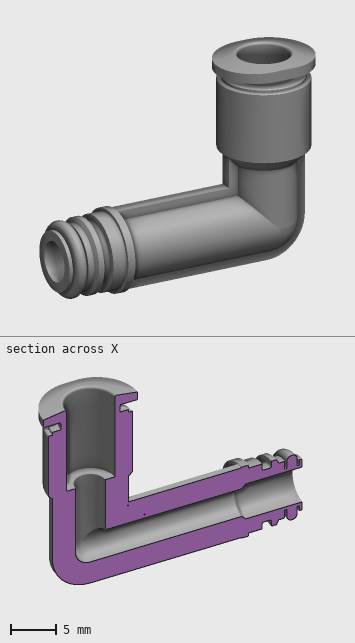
import math

import cadquery as cq


TUBE_R = 7.5 / 2
BORE_R = 3.7 / 2
RIB_THICKNESS = 1.5
RIB_R = 9.55 / 2

BODY_R = 10.55 / 2
BODY_BOTTOM = 8.75
BODY_TOP = 17.0
RIM_R = 9.55 / 2
RIM_TOP = 17.37
TOP_EDGE_CHAMFER = 0.1
SOCKET_R = 6.0 / 2
SOCKET_FLOOR = BODY_BOTTOM
SOCKET_MOUTH_R = 6.6 / 2

BUTTON_WIDTH = 9.75
BUTTON_LENGTH = 11.75
BUTTON_BOTTOM = 18.3
BUTTON_EDGE_TOP = 19.4
BUTTON_TOP = 19.805
NECK_R = 7.4 / 2
NECK_FLARE_R = 7.6 / 2
NECK_FLARE_HEIGHT = 0.3

FLANGE_R = 9.75 / 2
FLANGE_START = 18.85
FLANGE_END = 19.75
FLANGE_FILLET = 0.53
FLANGE_DRAFT = math.radians(20)
LAND_R = 8.93 / 2
LAND_END = 21.4
GROOVE_R = 7.15 / 2
GROOVE_FILLET = 0.28
RING_START = 22.55
RING_END = 23.2
NOSE_R = 7.8 / 2
NOSE_START = 23.5
NOSE_END = 24.25
SEAL_CORE_R = 5.65 / 2
TIP_R = 7.0 / 2
TIP_START = 26.0
OVERALL_LENGTH = 32.3
PLUG_END = OVERALL_LENGTH - BUTTON_LENGTH / 2
COUNTERBORE_R = 4.7 / 2
COUNTERBORE_START = FLANGE_START

SEAL_R = 8.85 / 2
SEAL_WIDTH = 1.3
SEAL_CROWN = 0.5
SEAL_CENTRE = (NOSE_END + TIP_START) / 2


def revolve_about_z(profile):
    """Turn a closed (radius, height) profile about the socket axis."""
    return profile.close().revolve(360, (0, 0, 0), (0, 1, 0))


def revolve_about_y(profile):
    """Turn a closed (distance, radius) profile about the plug axis."""
    return profile.close().revolve(360, (0, 0, 0), (1, 0, 0))


def plug_plane():
    """Plane whose local x runs out along the plug leg and local y is the radius."""
    return cq.Workplane(cq.Plane(origin=(0, 0, 0), xDir=(0, -1, 0), normal=(-1, 0, 0)))


def elbow(radius, socket_length, plug_length):
    """Two round legs meeting at a sphere, for the tube and for its bore."""
    socket_leg = cq.Workplane("XY").circle(radius).extrude(socket_length)
    plug_leg = plug_plane().transformed(rotate=(0, 90, 0)).circle(radius).extrude(plug_length)
    return cq.Workplane("XY").sphere(radius).union(socket_leg).union(plug_leg)


def rib():
    """Flat web along the elbow's centre plane, rounded around the outer corner."""
    return (
        plug_plane()
        .moveTo(-RIB_R, BODY_BOTTOM)
        .lineTo(-RIB_R, 0)
        .radiusArc((0, -RIB_R), -RIB_R)
        .lineTo(FLANGE_START, -RIB_R)
        .lineTo(FLANGE_START, RIB_R)
        .lineTo(RIB_R, RIB_R)
        .lineTo(RIB_R, BODY_BOTTOM)
        .close()
        .extrude(RIB_THICKNESS / 2, both=True)
    )


def socket_body():
    cone_bottom = BODY_BOTTOM - (BODY_R - TUBE_R)
    return revolve_about_z(
        cq.Workplane("XZ")
        .moveTo(0, cone_bottom)
        .lineTo(TUBE_R, cone_bottom)
        .lineTo(BODY_R, BODY_BOTTOM)
        .lineTo(BODY_R, BODY_TOP - TOP_EDGE_CHAMFER)
        .lineTo(BODY_R - TOP_EDGE_CHAMFER, BODY_TOP)
        .lineTo(RIM_R, BODY_TOP)
        .lineTo(RIM_R, RIM_TOP - TOP_EDGE_CHAMFER)
        .lineTo(RIM_R - TOP_EDGE_CHAMFER, RIM_TOP)
        .lineTo(0, RIM_TOP)
    )


def release_button():
    neck = revolve_about_z(
        cq.Workplane("XZ")
        .moveTo(0, BODY_TOP)
        .lineTo(NECK_R, BODY_TOP)
        .lineTo(NECK_R, BUTTON_BOTTOM - NECK_FLARE_HEIGHT)
        .lineTo(NECK_FLARE_R, BUTTON_BOTTOM)
        .lineTo(0, BUTTON_BOTTOM)
    )
    crowned_disc = revolve_about_z(
        cq.Workplane("XZ")
        .moveTo(0, BUTTON_BOTTOM)
        .lineTo(BUTTON_LENGTH / 2, BUTTON_BOTTOM)
        .lineTo(BUTTON_LENGTH / 2, BUTTON_EDGE_TOP)
        .lineTo(SOCKET_MOUTH_R, BUTTON_TOP)
        .lineTo(0, BUTTON_TOP)
    )
    outline = (
        cq.Workplane("XY", origin=(0, 0, BUTTON_BOTTOM))
        .slot2D(BUTTON_LENGTH, BUTTON_WIDTH, 90)
        .extrude(BUTTON_TOP - BUTTON_BOTTOM)
    )
    return neck.union(crowned_disc.intersect(outline))


def plug_body():
    fillet_end_r = TUBE_R + FLANGE_FILLET * (1 - math.sin(FLANGE_DRAFT))
    fillet_end = FLANGE_START - (FLANGE_R - fillet_end_r) * math.tan(FLANGE_DRAFT)
    fillet_start = fillet_end - FLANGE_FILLET * math.cos(FLANGE_DRAFT)
    return revolve_about_y(
        plug_plane()
        .moveTo(fillet_start, 0)
        .lineTo(fillet_start, TUBE_R)
        .radiusArc((fillet_end, fillet_end_r), -FLANGE_FILLET)
        .lineTo(FLANGE_START, FLANGE_R)
        .lineTo(FLANGE_END, FLANGE_R)
        .lineTo(FLANGE_END, LAND_R)
        .lineTo(LAND_END, LAND_R)
        .lineTo(LAND_END, GROOVE_R + GROOVE_FILLET)
        .radiusArc((LAND_END + GROOVE_FILLET, GROOVE_R), -GROOVE_FILLET)
        .lineTo(RING_START - GROOVE_FILLET, GROOVE_R)
        .radiusArc((RING_START, GROOVE_R + GROOVE_FILLET), -GROOVE_FILLET)
        .lineTo(RING_START, LAND_R)
        .lineTo(RING_END, LAND_R)
        .lineTo(NOSE_START, NOSE_R)
        .lineTo(NOSE_END, NOSE_R)
        .lineTo(NOSE_END, SEAL_CORE_R)
        .lineTo(TIP_START, SEAL_CORE_R)
        .lineTo(TIP_START, TIP_R)
        .lineTo(PLUG_END, TIP_R)
        .lineTo(PLUG_END, 0)
    )


def seal_ring():
    side_r = SEAL_R - SEAL_CROWN
    near_side = SEAL_CENTRE - SEAL_WIDTH / 2
    far_side = SEAL_CENTRE + SEAL_WIDTH / 2
    return revolve_about_y(
        plug_plane()
        .moveTo(near_side, 0)
        .lineTo(near_side, side_r)
        .threePointArc((SEAL_CENTRE, SEAL_R), (far_side, side_r))
        .lineTo(far_side, 0)
    )


def socket_hole():
    mouth_rounding = SOCKET_MOUTH_R - SOCKET_R
    return revolve_about_z(
        cq.Workplane("XZ")
        .moveTo(0, SOCKET_FLOOR)
        .lineTo(SOCKET_R, SOCKET_FLOOR)
        .lineTo(SOCKET_R, BUTTON_TOP - mouth_rounding)
        .radiusArc((SOCKET_MOUTH_R, BUTTON_TOP), mouth_rounding)
        .lineTo(0, BUTTON_TOP)
    )


def plug_counterbore():
    """Wider bore from the plug mouth back to the flange, coned down to the narrow bore."""
    cone_end = COUNTERBORE_START + COUNTERBORE_R - BORE_R
    return revolve_about_y(
        plug_plane()
        .moveTo(COUNTERBORE_START, 0)
        .lineTo(COUNTERBORE_START, BORE_R)
        .lineTo(cone_end, COUNTERBORE_R)
        .lineTo(PLUG_END, COUNTERBORE_R)
        .lineTo(PLUG_END, 0)
    )


outside = elbow(TUBE_R, BODY_BOTTOM, FLANGE_START)
for feature in (rib(), socket_body(), release_button(), plug_body(), seal_ring()):
    outside = outside.union(feature)

passage = elbow(BORE_R, SOCKET_FLOOR, COUNTERBORE_START)
passage = passage.union(socket_hole()).union(plug_counterbore())
result = outside.cut(passage)